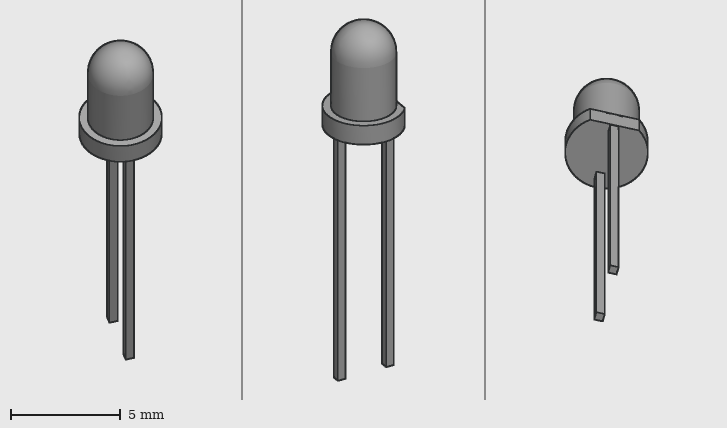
import cadquery as cq

TOTAL_HEIGHT = 18.2
LENS_DIAMETER = 3.0
FLANGE_DIAMETER = 3.79
FLANGE_THICKNESS = 1.0
HOUSING_HEIGHT = 5.3
LEAD_WIDTH = 0.4
LEAD_SPACING = 2.55

LENS_RADIUS = LENS_DIAMETER / 2
FLANGE_RADIUS = FLANGE_DIAMETER / 2
FLANGE_LENGTH_X = FLANGE_RADIUS + LENS_RADIUS
LEAD_LENGTH = TOTAL_HEIGHT - HOUSING_HEIGHT


def make_flange():
    """Round flange with a flat on its -X side."""
    disc = cq.Workplane("XY").circle(FLANGE_RADIUS).extrude(FLANGE_THICKNESS)
    flat_limit = (
        cq.Workplane("XY")
        .box(FLANGE_LENGTH_X, FLANGE_DIAMETER, FLANGE_THICKNESS, centered=(False, True, False))
        .translate((-LENS_RADIUS, 0, 0))
    )
    return disc.intersect(flat_limit)


def make_lens():
    """Cylinder with a hemispherical top, revolved about Z."""
    dome_base = HOUSING_HEIGHT - LENS_RADIUS
    return (
        cq.Workplane("XZ")
        .lineTo(LENS_RADIUS, 0)
        .lineTo(LENS_RADIUS, dome_base)
        .radiusArc((0, HOUSING_HEIGHT), -LENS_RADIUS)
        .close()
        .revolve(360, (0, 0), (0, 1))
    )


def make_housing():
    """Lens and flange moulded as one body."""
    return make_flange().union(make_lens())


def make_lead(x_center):
    """Square wire lead hanging from the underside of the flange."""
    return cq.Workplane("XY").center(x_center, 0).rect(LEAD_WIDTH, LEAD_WIDTH).extrude(-LEAD_LENGTH)


housing = make_housing()
leads = [make_lead(side * LEAD_SPACING / 2) for side in (-1, 1)]

result = cq.Compound.makeCompound([housing.val(), *[lead.val() for lead in leads]])